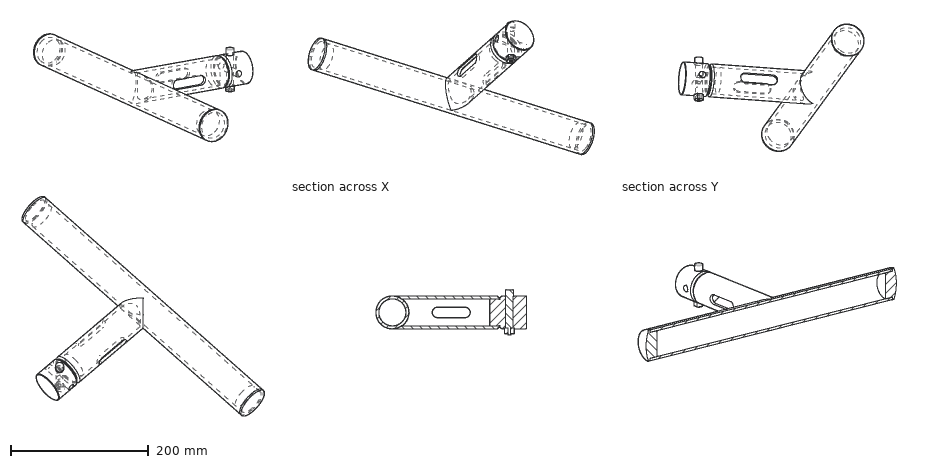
import cadquery as cq
import math

OVERALL_LENGTH = 464.0
TUBE_DIAMETER = 48.3
TUBE_RADIUS = TUBE_DIAMETER / 2
TUBE_WALL = 4.5
BORE_RADIUS = TUBE_RADIUS - TUBE_WALL

CAP_RIM = 3.0
DOME_HEIGHT = 4.5
CAP_PLUG_DEPTH = 14.0
BAR_HALF_LENGTH = OVERALL_LENGTH / 2 - DOME_HEIGHT - CAP_RIM

STEM_END_Y = 155.0
WELD_CHAMFER = 3.0
SLOT_CENTRE_Y = 85.5
SLOT_LENGTH = 54.8
SLOT_WIDTH = 15.0

COUPLING_START_Y = 156.0
COUPLING_END_Y = 195.0
COUPLING_END_CHAMFER = 1.0
SPIGOT_DEPTH = 14.0
CROSS_HOLE_DIAMETER = 9.7

BOLT_Y = 170.0
SHANK_DIAMETER = 10.0
STUD_DIAMETER = 4.0
BOLT_TOP_Z = 33.0
BOLT_BOTTOM_Z = -BOLT_TOP_Z
HEAD_DIAMETER = 12.0
HEAD_FILLET = 1.0
SEAT_RECESS = 1.0
HEAD_SEAT_Z = TUBE_RADIUS - SEAT_RECESS
NUT_ACROSS_FLATS = 12.5
NUT_CHAMFER = 0.5
NUT_SEAT_Z = -HEAD_SEAT_Z
NUT_BOTTOM_Z = -31.0


def cylinder_x(radius, start, end):
    return cq.Workplane("YZ", origin=(start, 0, 0)).circle(radius).extrude(end - start)


def cylinder_y(radius, start, end):
    return cq.Workplane("XZ", origin=(0, start, 0)).circle(radius).extrude(start - end)


def cylinder_z(radius, start, end):
    return cq.Workplane("XY", origin=(0, BOLT_Y, start)).circle(radius).extrude(end - start)


def make_crossbar():
    outside = cylinder_x(TUBE_RADIUS, -BAR_HALF_LENGTH, BAR_HALF_LENGTH)
    return outside.cut(cylinder_x(BORE_RADIUS, -BAR_HALF_LENGTH, BAR_HALF_LENGTH))


def make_end_cap(side):
    """Plug, rim and shallow dome revolved about X; side is -1 or +1."""
    seat = BAR_HALF_LENGTH
    rim = seat + CAP_RIM
    apex = rim + DOME_HEIGHT
    dome_radius = (TUBE_RADIUS**2 + DOME_HEIGHT**2) / (2 * DOME_HEIGHT)
    mid_radius = TUBE_RADIUS / 2
    mid_x = apex - dome_radius + math.sqrt(dome_radius**2 - mid_radius**2)
    profile = (
        cq.Workplane("XY")
        .moveTo(side * (seat - CAP_PLUG_DEPTH), 0)
        .lineTo(side * (seat - CAP_PLUG_DEPTH), BORE_RADIUS)
        .lineTo(side * seat, BORE_RADIUS)
        .lineTo(side * seat, TUBE_RADIUS)
        .lineTo(side * rim, TUBE_RADIUS)
        .threePointArc((side * mid_x, mid_radius), (side * apex, 0))
        .close()
    )
    return profile.revolve(360, (0, 0, 0), (1, 0, 0))


def make_stem():
    """Slotted tube, coped to fit against the crossbar."""
    stem = cylinder_y(TUBE_RADIUS, 0, STEM_END_Y).faces(">Y").chamfer(WELD_CHAMFER)
    stem = stem.cut(cylinder_y(BORE_RADIUS, 0, STEM_END_Y))
    stem = stem.cut(cylinder_x(TUBE_RADIUS, -TUBE_DIAMETER, TUBE_DIAMETER))
    slot = (
        cq.Workplane("YZ")
        .center(SLOT_CENTRE_Y, 0)
        .slot2D(SLOT_LENGTH, SLOT_WIDTH)
        .extrude(TUBE_DIAMETER, both=True)
    )
    return stem.cut(slot)


def make_coupling():
    """Solid end piece with a spigot in the stem, recesses for the bolt and nut, and a cross hole."""
    coupling = (
        cylinder_y(TUBE_RADIUS, COUPLING_START_Y, COUPLING_END_Y)
        .faces("<Y")
        .chamfer(WELD_CHAMFER)
        .faces(">Y")
        .chamfer(COUPLING_END_CHAMFER)
    )
    coupling = coupling.union(cylinder_y(BORE_RADIUS, STEM_END_Y - SPIGOT_DEPTH, COUPLING_START_Y))
    cross_hole = cylinder_x(CROSS_HOLE_DIAMETER / 2, -TUBE_RADIUS, TUBE_RADIUS)
    return coupling.cut(cross_hole.translate((0, BOLT_Y, 0))).cut(make_bolt()).cut(make_nut())


def make_bolt():
    """Round head, thick shank and a thin stud that carries the nut."""
    shank = cylinder_z(SHANK_DIAMETER / 2, NUT_SEAT_Z, HEAD_SEAT_Z)
    stud = cylinder_z(STUD_DIAMETER / 2, BOLT_BOTTOM_Z, NUT_SEAT_Z)
    head = cylinder_z(HEAD_DIAMETER / 2, HEAD_SEAT_Z, BOLT_TOP_Z)
    head = head.faces(">Z").edges().fillet(HEAD_FILLET)
    return shank.union(head).union(stud)


def make_nut():
    """Hexagon with two corners along Y and a chamfered lower face."""
    nut = (
        cq.Workplane("XY", origin=(0, BOLT_Y, NUT_BOTTOM_Z))
        .polygon(6, NUT_ACROSS_FLATS, circumscribed=True)
        .extrude(NUT_SEAT_Z - NUT_BOTTOM_Z)
        .faces("<Z")
        .chamfer(NUT_CHAMFER)
    )
    return nut.cut(cylinder_z(STUD_DIAMETER / 2, NUT_BOTTOM_Z, NUT_SEAT_Z))


crossbar = make_crossbar()
end_caps = [make_end_cap(side) for side in (-1, 1)]
stem = make_stem()
coupling = make_coupling()
bolt = make_bolt()
nut = make_nut()

result = cq.Compound.makeCompound(
    [crossbar.val(), *[cap.val() for cap in end_caps], stem.val(), coupling.val(), bolt.val(), nut.val()]
)